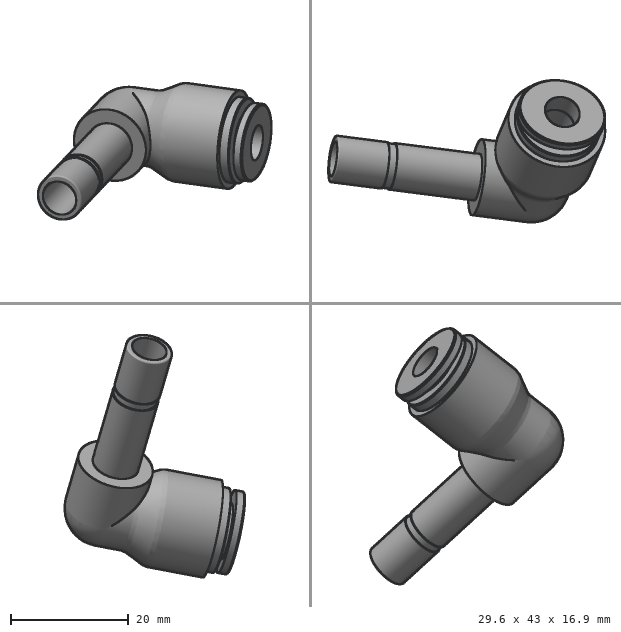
import cadquery as cq


elbow_dia = 13.0
socket_dia = 16.9
elbow_end = 9.5
cone_start = 5.0
cone_end = 8.95
cone_blend = 2.0
socket_end = 19.0
bore_dia = 6.0

overall_length = 42.95
stem_dia = 8.0
stem_end = overall_length - socket_dia / 2
stem_edge = 0.25
groove_dia = 7.7
groove_start = 24.25
groove_width = 1.37

ring_dia = 14.7
ring_length = 1.68
ring_edge = 0.15

overall_width = 29.6
collar_end = overall_width - elbow_dia / 2
neck_dia = 9.6
flange_width = 15.05
flange_height = elbow_dia
flange_start = 21.55
flange_edge = 0.2


def cylinder_x(dia, start, end):
    """Round bar along +X between two X positions."""
    return cq.Workplane("YZ", origin=(start, 0, 0)).circle(dia / 2).extrude(end - start)


def cylinder_y(dia, start, end):
    """Round bar along -Y between two distances from the corner."""
    return cq.Workplane("XZ", origin=(0, -start, 0)).circle(dia / 2).extrude(end - start)


def make_bore():
    """Right-angled passage with a spherical corner, open at the stem and the collar."""
    corner = cq.Workplane("XY").sphere(bore_dia / 2)
    stem_run = cylinder_y(bore_dia, 0, stem_end)
    collar_run = cylinder_x(bore_dia, 0, collar_end)
    return corner.union(stem_run).union(collar_run)


def make_socket():
    """Revolved socket that widens from the elbow diameter over a blended cone."""
    profile = [
        (0, 0),
        (0, elbow_dia / 2),
        (cone_start, elbow_dia / 2),
        (cone_end, socket_dia / 2),
        (socket_end, socket_dia / 2),
        (socket_end, 0),
    ]
    socket = cq.Workplane("XY").polyline(profile).close().revolve(360, (0, 0, 0), (1, 0, 0))
    cone = socket.faces("%CONE")
    return socket.newObject(cone.edges("%CIRCLE").vals()).fillet(cone_blend)


def make_stem():
    """Plug-in stem with a shallow groove and a rounded tip."""
    groove_end = groove_start + groove_width
    stem = cylinder_y(stem_dia, 0, stem_end).faces("<Y").edges().fillet(stem_edge)
    band = cylinder_y(stem_dia, groove_start, groove_end)
    core = cylinder_y(groove_dia, groove_start, groove_end)
    return stem.cut(band.cut(core))


def make_housing():
    """Elbow, socket and stem in one piece."""
    corner = cq.Workplane("XY").sphere(elbow_dia / 2)
    elbow = cylinder_y(elbow_dia, 0, elbow_end)
    body = make_socket().union(elbow).union(corner).union(make_stem())
    return body.cut(make_bore())


def make_ring():
    """Ring seated on the socket mouth, with a hole that fits the collar neck."""
    ring_end = socket_end + ring_length
    ring = cylinder_x(ring_dia, socket_end, ring_end).faces(">X").edges().chamfer(ring_edge)
    return ring.cut(cylinder_x(neck_dia, socket_end, ring_end))


def make_collar():
    """Release collar: a neck through the ring and an elliptical push flange."""
    neck = cylinder_x(neck_dia, socket_end, flange_start)
    flange = (
        cq.Workplane("YZ", origin=(flange_start, 0, 0))
        .ellipse(flange_width / 2, flange_height / 2)
        .extrude(collar_end - flange_start)
        .faces(">X")
        .edges()
        .chamfer(flange_edge)
    )
    return neck.union(flange).cut(make_bore())


housing = make_housing()
ring = make_ring()
collar = make_collar()

result = cq.Compound.makeCompound([housing.val(), ring.val(), collar.val()])